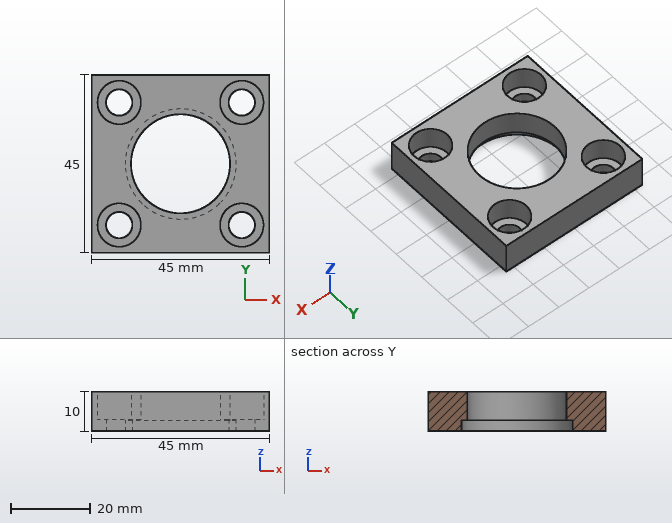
import cadquery as cq

plate_side = 45.0
plate_thickness = 10.0

bore_diameter = 25.0
recess_diameter = 28.0
recess_depth = 2.7

screw_spacing = 31.0
screw_hole_diameter = 6.6
counterbore_diameter = 11.0
counterbore_depth = 7.0


def make_plate():
    return cq.Workplane("XY").box(plate_side, plate_side, plate_thickness, centered=(True, True, False))


def cut_central_bore(body):
    bored = body.faces(">Z").workplane().hole(bore_diameter)
    recess = cq.Workplane("XY").circle(recess_diameter / 2).extrude(recess_depth)
    return bored.cut(recess)


def cut_screw_holes(body):
    return (
        body.faces(">Z")
        .workplane(origin=(0, 0, plate_thickness))
        .rect(screw_spacing, screw_spacing, forConstruction=True)
        .vertices()
        .cboreHole(screw_hole_diameter, counterbore_diameter, counterbore_depth)
    )


plate = make_plate()
bored_plate = cut_central_bore(plate)
result = cut_screw_holes(bored_plate)